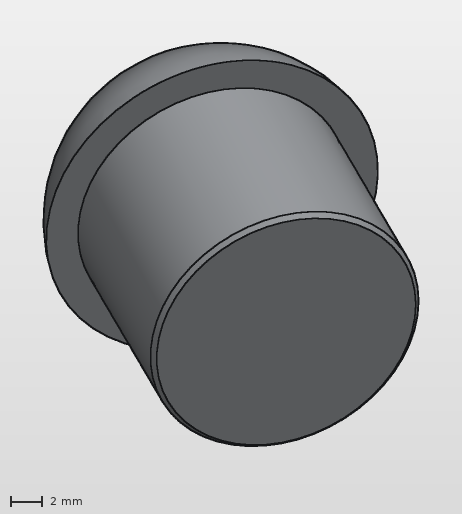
import cadquery as cq

total_length = 23.5
head_diameter = 22.0
head_height = 9.5
shank_diameter = 17.8
end_chamfer = 0.3

head_tip_x = -total_length / 2
shoulder_x = head_tip_x + head_height
shank_length = total_length - head_height

rim_radius = head_diameter / 2
dome_radius = (rim_radius**2 + head_height**2) / (2 * head_height)
dome_center_x = head_tip_x + dome_radius


def make_head():
    """Spherical cap with a flat shoulder facing +X."""
    sphere = cq.Workplane("XY").sphere(dome_radius).translate((dome_center_x, 0, 0))
    cap_bounds = cq.Workplane("YZ", origin=(head_tip_x, 0, 0)).circle(dome_radius).extrude(head_height)
    return sphere.intersect(cap_bounds)


def make_shank():
    """Cylinder behind the shoulder, chamfered at its free end."""
    shank = cq.Workplane("YZ", origin=(shoulder_x, 0, 0)).circle(shank_diameter / 2).extrude(shank_length)
    return shank.faces(">X").edges().chamfer(end_chamfer)


result = make_head().union(make_shank())